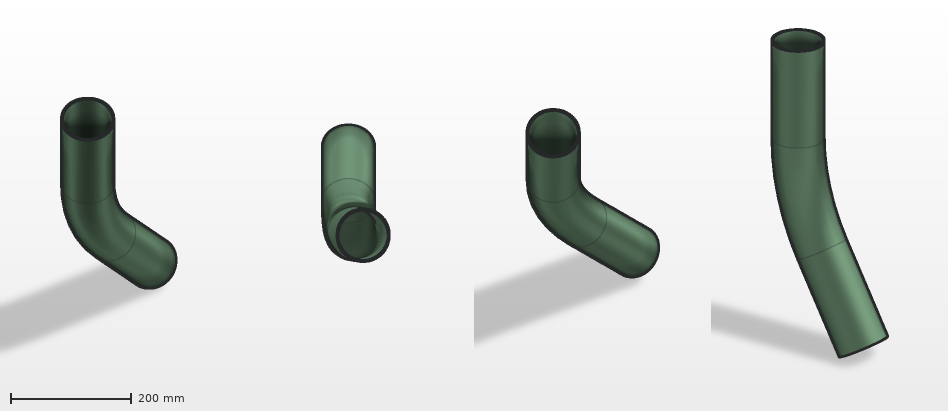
import cadquery as cq
import math

overall_height = 544.5
outer_diameter = 89.0
inner_diameter = 83.0
leg_length = 2 * outer_diameter
bend_angle = 30.0

bend_sin = math.sin(math.radians(bend_angle))
bend_cos = math.cos(math.radians(bend_angle))

legs_height = leg_length * (1 + bend_cos)
rim_drop = outer_diameter / 2 * bend_sin
bend_radius = (overall_height - legs_height - rim_drop) / bend_sin


def bend_point(angle):
    """Centreline point (Y, Z) after turning by angle degrees from the upper leg."""
    turn = math.radians(angle)
    return bend_radius * (1 - math.cos(turn)), -leg_length - bend_radius * math.sin(turn)


bend_end_y, bend_end_z = bend_point(bend_angle)
lower_end = (bend_end_y + leg_length * bend_sin, bend_end_z - leg_length * bend_cos)
centreline = (
    cq.Workplane("YZ")
    .lineTo(0, -leg_length)
    .threePointArc(bend_point(bend_angle / 2), (bend_end_y, bend_end_z))
    .lineTo(*lower_end)
)

result = cq.Workplane("XY").circle(outer_diameter / 2).circle(inner_diameter / 2).sweep(centreline)